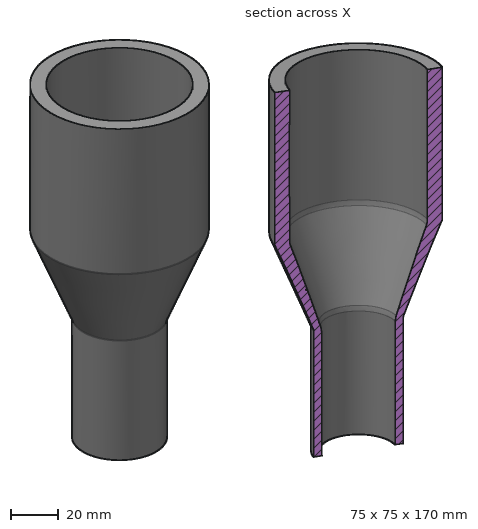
import cadquery as cq

large_diameter = 75.0
large_wall = 6.8
small_diameter = 40.0
small_wall = 3.7
total_height = 170.0
large_length = 70.0
small_length = 58.0

outer_blend_radius = 1.5
bore_blend_radius = 7.5

large_outer_radius = large_diameter / 2
large_bore_radius = large_outer_radius - large_wall
small_outer_radius = small_diameter / 2
small_bore_radius = small_outer_radius - small_wall
cone_bottom = small_length
cone_top = total_height - large_length


def stepped_cone(small_radius, large_radius, blend_radius):
    """Solid of revolution about Z: small cylinder, cone, large cylinder, with blended joints."""
    half_profile = (
        cq.Workplane("XZ")
        .lineTo(small_radius, 0)
        .lineTo(small_radius, cone_bottom)
        .lineTo(large_radius, cone_top)
        .lineTo(large_radius, total_height)
        .lineTo(0, total_height)
        .close()
    )
    solid = half_profile.revolve(360, (0, 0, 0), (0, 1, 0))
    joints = solid.faces("%CONE").edges("%CIRCLE")
    return joints.fillet(blend_radius)


outer_body = stepped_cone(small_outer_radius, large_outer_radius, outer_blend_radius)
bore = stepped_cone(small_bore_radius, large_bore_radius, bore_blend_radius)
result = outer_body.cut(bore)